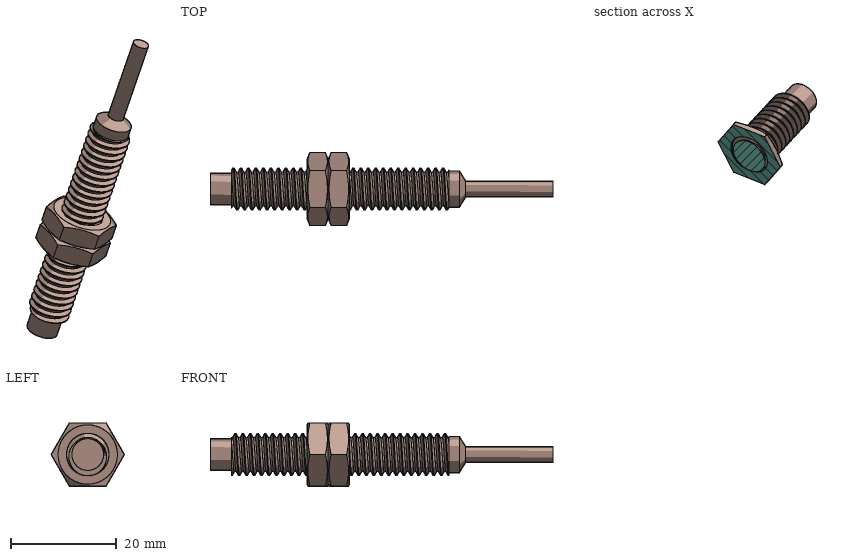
import cadquery as cq
import math

tip_length = 4.0
thread_length = 41.0
collar_length = 2.0
cone_length = 1.2
total_length = 64.7
thread_start = tip_length
thread_end = thread_start + thread_length
collar_end = thread_end + collar_length

tip_radius = 3.0
collar_radius = 3.45
cable_radius = 1.5

thread_turns = 29
crest_radius = 4.0
pitch = thread_length / thread_turns
flank_slope = math.tan(math.radians(30.0))
crest_flat = pitch / 8
root_flat = pitch / 4
thread_depth = (pitch - crest_flat - root_flat) / (2 * flank_slope)
root_radius = crest_radius - thread_depth
root_overlap = 0.1

nut_thickness = 4.0
nut_count = 2
nut_across_flats = 12.0
nut_bore_clearance = 0.005
nut_bore_radius = crest_radius + nut_bore_clearance
nut_start = 18.25
nut_face_radius = 5.6
nut_corner_radius = nut_across_flats / math.sqrt(3)
nut_chamfer_angle = 22.0
nut_chamfer_length = (nut_corner_radius - nut_face_radius) * math.tan(math.radians(nut_chamfer_angle))


def revolve_about_x(points):
    """Revolve a closed (x, radius) outline about the X axis."""
    return cq.Workplane("XY").polyline(points).close().revolve(360, (0, 0, 0), (1, 0, 0))


def make_threaded_barrel():
    """Core with a right-handed helical ridge along X, whose crest crosses -Z at the thread start."""
    inner_radius = root_radius - root_overlap
    crest_half = crest_flat / 2
    inner_half = crest_half + (crest_radius - inner_radius) * flank_slope

    untrimmed_length = thread_length + 2 * pitch
    helix = cq.Wire.makeHelix(pitch, untrimmed_length, root_radius)
    ridge = (
        cq.Workplane("XZ")
        .polyline([
            (inner_radius, -inner_half),
            (crest_radius, -crest_half),
            (crest_radius, crest_half),
            (inner_radius, inner_half),
        ])
        .close()
        .sweep(cq.Workplane(obj=helix), isFrenet=True)
    )
    core = cq.Workplane("XY").circle(root_radius).extrude(untrimmed_length)

    trim = (
        cq.Workplane("XY", origin=(0, 0, pitch))
        .circle(2 * crest_radius)
        .extrude(thread_length)
    )
    return (
        core.union(ridge, clean=False)
        .intersect(trim, clean=False)
        .rotate((0, 0, 0), (0, 1, 0), 90)
        .translate((thread_start - pitch, 0, 0))
    )


def make_sensor():
    """Sensing tip, threaded barrel, rear collar with cone, and cable."""
    tip = cq.Workplane("YZ").circle(tip_radius).extrude(tip_length)
    rear = revolve_about_x([
        (thread_end, 0),
        (thread_end, collar_radius),
        (collar_end, collar_radius),
        (collar_end + cone_length, cable_radius),
        (total_length, cable_radius),
        (total_length, 0),
    ])
    return make_threaded_barrel().union(tip, clean=False).union(rear, clean=False)


def make_nut_pair():
    """Two chamfered hexagonal nuts, face to face, forming one body bored to clear the thread crests."""
    hexagon = (
        cq.Workplane("YZ", origin=(nut_start, 0, 0))
        .polygon(6, 2 * nut_corner_radius)
        .circle(nut_bore_radius)
        .extrude(nut_count * nut_thickness)
    )
    envelope_points = [(nut_start, 0)]
    for index in range(nut_count):
        front = nut_start + index * nut_thickness
        back = front + nut_thickness
        envelope_points += [
            (front, nut_face_radius),
            (front + nut_chamfer_length, nut_corner_radius),
            (back - nut_chamfer_length, nut_corner_radius),
        ]
    envelope_points += [(back, nut_face_radius), (back, 0)]
    return hexagon.intersect(revolve_about_x(envelope_points))


sensor = make_sensor().solids()
nut_pair = make_nut_pair().solids()

result = cq.Compound.makeCompound([sensor.val(), nut_pair.val()])